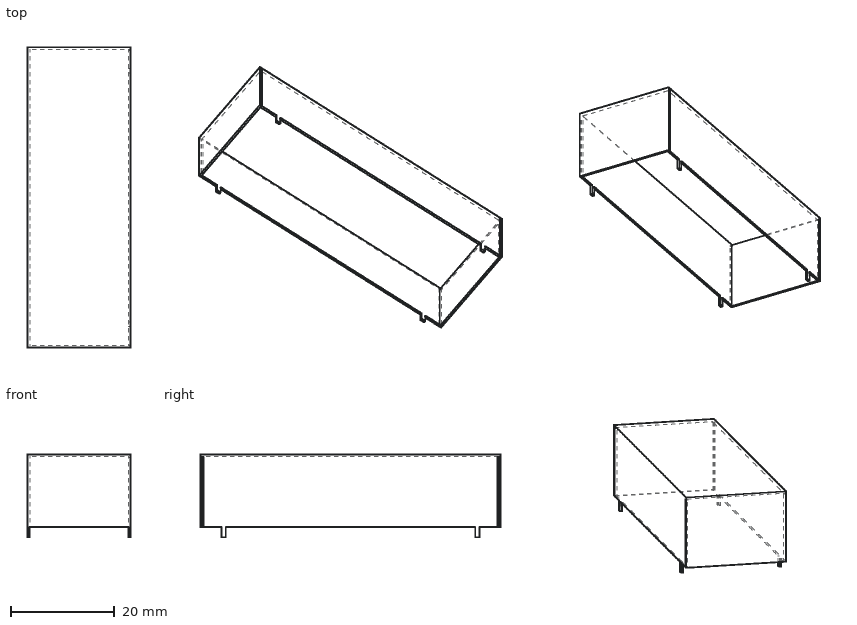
import cadquery as cq

width = 19.9
length = 58.0
total_height = 16.0
pin_drop = 2.0
case_height = total_height - pin_drop

wall = 0.4

pin_width = 0.85
pin_spacing = 49.0

slit_width = 0.2
slit_depth = wall
slit_top_margin = 0.5
slit_height = case_height - slit_top_margin


def block(size_x, size_y, z_bottom, height):
    """Box centred on X and Y, standing on z_bottom."""
    return (
        cq.Workplane("XY")
        .box(size_x, size_y, height, centered=(True, True, False))
        .translate((0, 0, z_bottom))
    )


outside = block(width, length, 0, case_height)
cavity = block(width - 2 * wall, length - 2 * wall, 0, case_height - wall)
case = outside.cut(cavity)
pin = block(wall, pin_width, -pin_drop, pin_drop)
slit = block(slit_depth, slit_width, 0, slit_height)

pin_x = (width - wall) / 2
slit_x = (width - slit_depth) / 2
slit_y = length / 2 - wall - slit_width / 2

result = case
for side in (-1, 1):
    for end in (-1, 1):
        result = result.union(pin.translate((side * pin_x, end * pin_spacing / 2, 0)))
        result = result.cut(slit.translate((side * slit_x, end * slit_y, 0)))